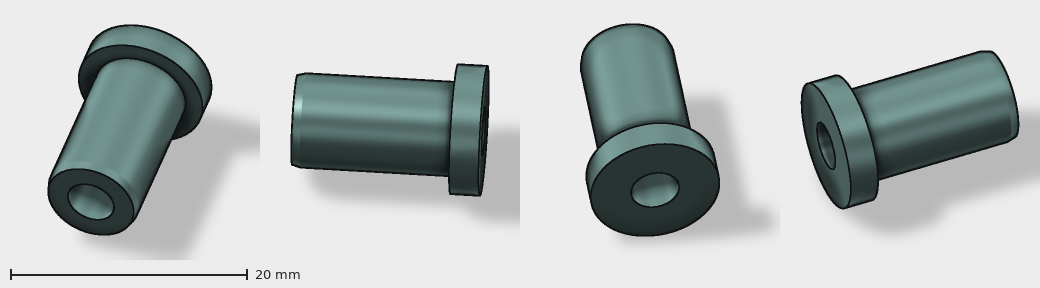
import cadquery as cq
import math

total_length = 16.0
head_diameter = 11.0
head_thickness = 2.5
shank_diameter = 8.0
bore_diameter = 4.1

taper_length = 0.75
taper_angle = 15.0

head_radius = head_diameter / 2
shank_radius = shank_diameter / 2
bore_radius = bore_diameter / 2
tip_radius = shank_radius - taper_length * math.tan(math.radians(taper_angle))
head_underside = total_length - head_thickness

half_section = (
    cq.Workplane("XY")
    .moveTo(bore_radius, 0)
    .lineTo(tip_radius, 0)
    .lineTo(shank_radius, taper_length)
    .lineTo(shank_radius, head_underside)
    .lineTo(head_radius, head_underside)
    .lineTo(head_radius, total_length)
    .lineTo(bore_radius, total_length)
    .close()
)

result = half_section.revolve(360, (0, 0, 0), (0, 1, 0))